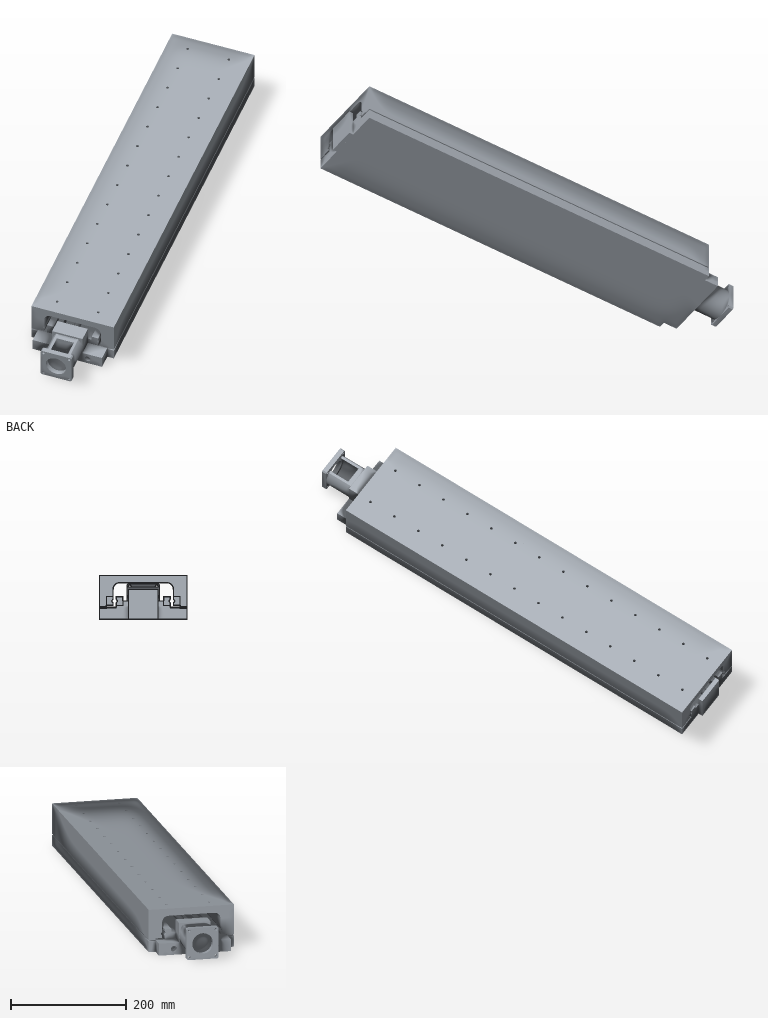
import cadquery as cq
import math

width = 153.0
height = 76.0
total_length = 803.0
stage_length = 712.0
end_plate_thickness = 8.0
rear_y = total_length / 2 - end_plate_thickness
front_y = rear_y - stage_length

rail_width = 12.0
rail_bottom = 24.0
rail_top = 39.0
rail_middle = (rail_bottom + rail_top) / 2
outer_rail_face = 52.0
rail_gap = 5.0
inner_rail_face = outer_rail_face - rail_gap
outer_rail_back = outer_rail_face + rail_width
inner_rail_back = inner_rail_face - rail_width
vee_depth = 2.5
vee_half_height = 3.6

table_bottom = 22.0
cavity_top = 63.5
cavity_fillet = 11.0
table_hole_diameter = 5.0
table_hole_rows = 2
table_hole_count = 14
table_hole_end_margin = 26.0
table_hole_pitch = (stage_length - 2 * table_hole_end_margin) / (table_hole_count - 1)
table_hole_row_spacing = width / 2

base_thickness = 19.0
shoulder_top = 32.0
channel_half_width = 26.0

flange_width = 57.0
flange_bottom = 5.0
flange_thickness = 9.0
flange_chamfer = 2.5
axis_z = flange_bottom + flange_width / 2

screw_diameter = 11.0
end_plate_width = 51.5
end_plate_height = 51.5

foot_width = 128.5
foot_height = 22.0
block_length = 26.5
block_top = 56.0
mount_size = 56.0
flat_height = 19.0
pilot_diameter = 37.0
bore_diameter = 50.0
bore_wall = 10.5
motor_hole_spacing = 47.0
motor_hole_diameter = 5.0
foot_screw_x = 38.0
foot_screw_z = 10.5
foot_screw_diameter = 6.5
foot_screw_head_diameter = 10.5
foot_screw_head_depth = 6.5

block_front_y = front_y - block_length
flange_front_y = -total_length / 2
flange_back_y = flange_front_y + flange_thickness
bore_back_y = block_front_y - bore_wall


def box(x_min, x_max, y_min, y_max, z_min, z_max):
    """Box between the given limits."""
    size = (x_max - x_min, y_max - y_min, z_max - z_min)
    return cq.Workplane("XY").box(*size, centered=False).translate((x_min, y_min, z_min))


def centered_box(box_width, y_min, y_max, z_min, z_max):
    """Box that is symmetric about the X = 0 plane."""
    return box(-box_width / 2, box_width / 2, y_min, y_max, z_min, z_max)


def cylinder_y(diameter, y_min, y_max, x=0.0, z=axis_z):
    """Cylinder along Y between the given limits."""
    start = cq.Vector(x, y_min, z)
    return cq.Workplane(cq.Solid.makeCylinder(diameter / 2, y_max - y_min, start, cq.Vector(0, 1, 0)))


def make_table():
    cavity = centered_box(2 * outer_rail_face, front_y, rear_y, 0, cavity_top)
    cavity = cavity.edges("|Y and >Z").fillet(cavity_fillet)
    rail_seats = centered_box(2 * outer_rail_back, front_y, rear_y, 0, rail_top)
    table = centered_box(width, front_y, rear_y, table_bottom, height).cut(cavity).cut(rail_seats)
    holes = (
        cq.Workplane("XY", origin=(0, (front_y + rear_y) / 2, cavity_top))
        .rarray(table_hole_row_spacing, table_hole_pitch, table_hole_rows, table_hole_count)
        .circle(table_hole_diameter / 2)
        .extrude(height - cavity_top)
    )
    return table.cut(holes)


def make_base():
    base = centered_box(width, front_y, rear_y, 0, base_thickness)
    pedestals = centered_box(2 * inner_rail_face, front_y, rear_y, base_thickness, rail_bottom)
    shoulders = centered_box(2 * inner_rail_back, front_y, rear_y, rail_bottom, shoulder_top)
    channel = centered_box(2 * channel_half_width, front_y, rear_y, base_thickness, shoulder_top)
    return base.union(pedestals).union(shoulders).cut(channel)


def make_rail(face_x, back_x):
    """Rail whose V-groove is cut into the side at face_x."""
    inward = math.copysign(vee_depth, back_x - face_x)
    outline = [
        (face_x, rail_bottom),
        (face_x, rail_middle - vee_half_height),
        (face_x + inward, rail_middle),
        (face_x, rail_middle + vee_half_height),
        (face_x, rail_top),
        (back_x, rail_top),
        (back_x, rail_bottom),
    ]
    return cq.Workplane("XZ", origin=(0, rear_y, 0)).polyline(outline).close().extrude(stage_length)


def make_motor_flange():
    flange_top = flange_bottom + flange_width
    flange = centered_box(flange_width, flange_front_y, flange_back_y, flange_bottom, flange_top)
    flange = flange.edges("|Y").chamfer(flange_chamfer)
    for side in (-1, 1):
        for level in (-1, 1):
            x = side * motor_hole_spacing / 2
            z = axis_z + level * motor_hole_spacing / 2
            flange = flange.cut(cylinder_y(motor_hole_diameter, flange_front_y, flange_back_y, x, z))
    return flange


def make_tube():
    """Round tube body, cut flat on top."""
    tube = cylinder_y(mount_size, flange_back_y, block_front_y)
    flat_z = axis_z + flat_height
    return tube.cut(centered_box(mount_size, flange_back_y, block_front_y, flat_z, height))


def make_motor_mount():
    mount = centered_box(foot_width, block_front_y, front_y, 0, foot_height)
    mount = mount.union(centered_box(mount_size, block_front_y, front_y, 0, block_top))
    mount = mount.union(make_tube()).union(make_motor_flange())
    mount = mount.cut(cylinder_y(bore_diameter, flange_back_y, bore_back_y))
    mount = mount.cut(cylinder_y(pilot_diameter, flange_front_y, flange_back_y))
    mount = mount.cut(cylinder_y(screw_diameter, bore_back_y, front_y))
    for side in (-1, 1):
        x = side * foot_screw_x
        head_end_y = block_front_y + foot_screw_head_depth
        mount = mount.cut(cylinder_y(foot_screw_diameter, block_front_y, front_y, x, foot_screw_z))
        mount = mount.cut(cylinder_y(foot_screw_head_diameter, block_front_y, head_end_y, x, foot_screw_z))
    return mount


def make_lead_screw():
    return cylinder_y(screw_diameter, bore_back_y, rear_y)


def make_end_plate():
    return centered_box(end_plate_width, rear_y, total_length / 2, 0, end_plate_height)


table = make_table()
base = make_base()
rails = []
for side in (-1, 1):
    rails.append(make_rail(side * outer_rail_face, side * outer_rail_back).val())
    rails.append(make_rail(side * inner_rail_face, side * inner_rail_back).val())
motor_mount = make_motor_mount()
lead_screw = make_lead_screw()
end_plate = make_end_plate()

result = cq.Compound.makeCompound(
    [table.val(), base.val(), *rails, motor_mount.val(), lead_screw.val(), end_plate.val()]
)